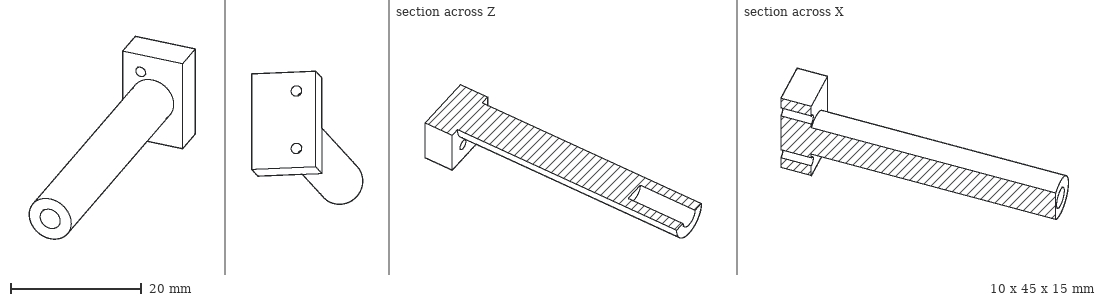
import cadquery as cq

total_length = 45.0
flange_width = 10.0
flange_height = 15.0
flange_thickness = 5.0
rod_diameter = 7.0
bore_diameter = 3.35
bore_depth = 10.0
pin_hole_diameter = 1.6
pin_hole_x = -2.0
pin_hole_spacing = 9.0

rod_length = total_length - flange_thickness
rod_end_y = -rod_length


def cylinder_along_y(diameter, length, start_y, x=0.0, z=0.0):
    """Cylinder that starts at start_y and extends toward +Y."""
    start = cq.Vector(x, start_y, z)
    direction = cq.Vector(0, 1, 0)
    return cq.Workplane(cq.Solid.makeCylinder(diameter / 2, length, start, direction))


flange = cq.Workplane("XY").box(
    flange_width, flange_thickness, flange_height, centered=(True, False, True)
)
result = flange.union(cylinder_along_y(rod_diameter, rod_length, rod_end_y))

result = result.cut(cylinder_along_y(bore_diameter, bore_depth, rod_end_y))

for side in (-1, 1):
    hole_z = side * pin_hole_spacing / 2
    result = result.cut(
        cylinder_along_y(pin_hole_diameter, flange_thickness, 0.0, pin_hole_x, hole_z)
    )